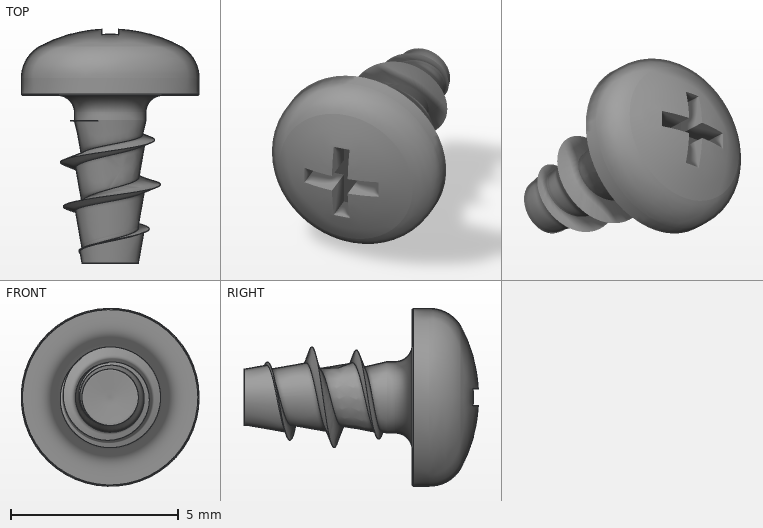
import cadquery as cq
import math


head_radius = 2.65
head_height = 1.985
rim_height = 0.51
crown_radius = 2.12
crown_base_height = 1.445
shoulder_arc_radius = 1.09
rim_edge_chamfer = 0.04

recess_arm_width = 0.5
recess_span = 2.36
recess_depth = 1.0

screw_length = 5.0
neck_radius = 1.065
neck_fillet = 0.5
run_in_end_depth = 1.71
core_radius = 0.84
dimple_radius = 0.78
dimple_angle = 5.0

thread_start_depth = 0.745
pitch = 4 / 3
crest_depth_at_x = 1.32
crest_radius = 1.5
full_crest_start = 2.05
full_crest_end = 3.02
run_in_slope = 0.24
run_out_slope = 0.348
flank_angle = 20.0
flank_base_radius = 0.80

lip_radius = 1.04
lip_slope = 0.5
lip_crest_thickness = 0.01
lip_base_thickness = 0.06

root_crest_radius = 1.055
root_taper_slope = math.tan(math.radians(10.0))
root_length = 1.32
root_base_radius = 0.6

helix_start_depth = 0.35
helix_end_depth = screw_length
points_per_turn = 20


def make_head_and_shank():
    """Revolve the head, the neck and the plain core about the Y axis."""
    crown_rise = head_height - crown_base_height
    crown_arc_radius = (crown_radius**2 + crown_rise**2) / (2 * crown_rise)
    crown_mid_radius = crown_radius / 2
    crown_drop = crown_arc_radius - math.sqrt(crown_arc_radius**2 - crown_mid_radius**2)

    profile = (
        cq.Workplane("XY")
        .moveTo(0, head_height)
        .threePointArc((crown_mid_radius, head_height - crown_drop), (crown_radius, crown_base_height))
        .radiusArc((head_radius, rim_height), shoulder_arc_radius)
        .lineTo(head_radius, rim_edge_chamfer)
        .lineTo(head_radius - rim_edge_chamfer, 0)
        .lineTo(neck_radius + neck_fillet, 0)
        .radiusArc((neck_radius, -neck_fillet), -neck_fillet)
        .lineTo(neck_radius, -thread_start_depth)
        .lineTo(core_radius, -run_in_end_depth)
        .lineTo(core_radius, -screw_length)
        .lineTo(0, -screw_length)
        .close()
    )
    return profile.revolve(360, (0, 0, 0), (0, 1, 0))


def crest_radius_at(depth):
    """Crest radius: grows to full size, stays there, then shrinks toward the tip."""
    lip = lip_radius + lip_slope * (depth - helix_start_depth)
    growing = crest_radius - run_in_slope * (full_crest_start - max(depth, thread_start_depth))
    shrinking = crest_radius - run_out_slope * (depth - full_crest_end)
    return min(lip, growing, crest_radius, shrinking)


def ridge_section(depth):
    """Triangular thread ridge with its crest at this depth, as (radius, depth) corners."""
    crest = crest_radius_at(depth)
    half_width = (crest - flank_base_radius) * math.tan(math.radians(flank_angle))
    return [
        (flank_base_radius, depth - half_width),
        (crest, max(depth, thread_start_depth + lip_crest_thickness)),
        (flank_base_radius, max(depth + half_width, thread_start_depth + lip_base_thickness)),
    ]


def root_section(depth):
    """Tapered root behind the crest at this depth, as (radius, depth) corners."""
    tip_cone_radius = core_radius + root_taper_slope * (screw_length - depth)
    start_radius = min(root_crest_radius, tip_cone_radius)
    return [
        (root_base_radius, depth),
        (start_radius, depth),
        (start_radius - root_taper_slope * root_length, depth + root_length),
        (root_base_radius, depth + root_length),
    ]


def helical_solid(section_at):
    """Solid bounded by ruled faces between the helices traced by the section corners."""
    helix_length = helix_end_depth - helix_start_depth
    steps = math.ceil(helix_length / pitch * points_per_turn)
    corner_count = len(section_at(helix_start_depth))
    curves = [[] for _ in range(corner_count)]
    for step in range(steps + 1):
        crest_depth = helix_start_depth + helix_length * step / steps
        angle = 2 * math.pi * (crest_depth - crest_depth_at_x) / pitch
        for curve, (radius, depth) in zip(curves, section_at(crest_depth)):
            curve.append(cq.Vector(radius * math.cos(angle), -depth, radius * math.sin(angle)))

    edges = [cq.Edge.makeSpline(curve) for curve in curves]
    faces = [cq.Face.makeRuledSurface(edges[i - 1], edges[i]) for i in range(corner_count)]
    for end in (0, -1):
        corners = [curve[end] for curve in curves]
        faces.append(cq.Face.makeFromWires(cq.Wire.makePolygon(corners, close=True)))
    return cq.Workplane(cq.Solid.makeSolid(cq.Shell.makeShell(faces)))


def make_thread_part(section_at):
    """Helical solid trimmed to the zone between the thread start and the tip face."""
    zone_length = screw_length - thread_start_depth
    zone = (
        cq.Workplane("XZ", origin=(0, -thread_start_depth, 0))
        .circle(2 * crest_radius)
        .extrude(zone_length)
    )
    return zone.intersect(helical_solid(section_at))


def make_cross_recess():
    """Two crossing slots sunk into the crown."""
    plane = cq.Workplane("XZ", origin=(0, head_height, 0))
    arm_x = plane.rect(recess_span, recess_arm_width).extrude(recess_depth)
    arm_z = plane.rect(recess_arm_width, recess_span).extrude(recess_depth)
    return arm_x.union(arm_z)


def make_tip_dimple():
    """Shallow cone sunk into the tip face."""
    dimple_depth = dimple_radius * math.tan(math.radians(dimple_angle))
    profile = (
        cq.Workplane("XY")
        .moveTo(0, -screw_length)
        .lineTo(dimple_radius, -screw_length)
        .lineTo(0, dimple_depth - screw_length)
        .close()
    )
    return profile.revolve(360, (0, 0, 0), (0, 1, 0))


screw = make_head_and_shank().cut(make_cross_recess())
for section in (root_section, ridge_section):
    screw = screw.union(make_thread_part(section))
result = screw.cut(make_tip_dimple())